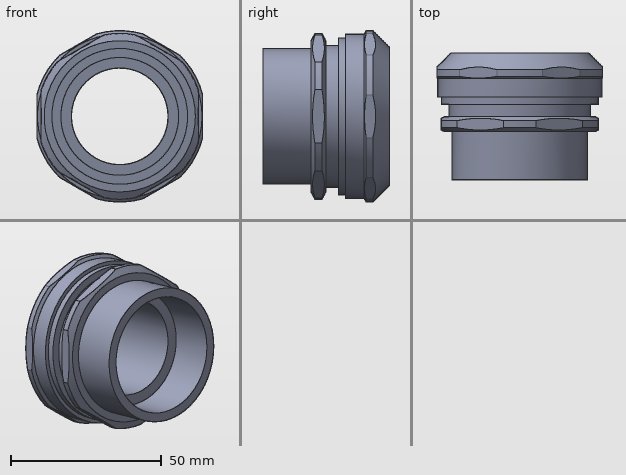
import cadquery as cq


total_length = 42.0
socket_length = 15.95
nut_length = 4.95
neck_length = 4.1
collar_length = 2.4
body_length = 6.2
cap_length = total_length - socket_length - nut_length - neck_length - collar_length - body_length

socket_diameter = 45.0
neck_diameter = 47.0
collar_diameter = 52.0
body_diameter = 54.5

nut_diameter = 55.0
nut_flats = 52.0
nut_face_diameter = 50.1
nut_chamfer_length = 1.3

cap_diameter = 56.8
cap_flats = 55.0
cap_front_diameter = body_diameter
cap_chamfer_length = 0.7
cap_bevel_length = 5.55
cap_rear_diameter = cap_diameter - 2 * cap_bevel_length

socket_bore_diameter = 39.0
socket_bore_depth = 15.95
through_bore_diameter = 31.9

socket_end = -total_length / 2
nut_start = socket_end + socket_length
neck_start = nut_start + nut_length
collar_start = neck_start + neck_length
body_start = collar_start + collar_length
cap_start = body_start + body_length


def cylinder(diameter, start, length):
    """Solid round section from Y = start towards +Y."""
    plane = cq.Workplane("XZ", origin=(0, start, 0))
    return plane.circle(diameter / 2).extrude(-length)


def chamfered_hexagon(flats, start, length, diameter, front, rear):
    """Turned disc cut to a hexagon with flats facing +X and -X.

    front and rear each give the end face diameter and the chamfer length.
    """
    front_diameter, front_length = front
    rear_diameter, rear_length = rear
    end = start + length
    disc = (
        cq.Workplane("XY")
        .moveTo(0, start)
        .lineTo(front_diameter / 2, start)
        .lineTo(diameter / 2, start + front_length)
        .lineTo(diameter / 2, end - rear_length)
        .lineTo(rear_diameter / 2, end)
        .lineTo(0, end)
        .close()
        .revolve(360, (0, 0, 0), (0, 1, 0))
    )
    hexagon = (
        cq.Workplane("XZ", origin=(0, start, 0))
        .polygon(6, flats, circumscribed=True)
        .extrude(-length)
    )
    return disc.intersect(hexagon)


socket = cylinder(socket_diameter, socket_end, socket_length)
neck = cylinder(neck_diameter, neck_start, neck_length)
collar = cylinder(collar_diameter, collar_start, collar_length)
body = cylinder(body_diameter, body_start, body_length)

nut_chamfer = (nut_face_diameter, nut_chamfer_length)
nut = chamfered_hexagon(nut_flats, nut_start, nut_length, nut_diameter, nut_chamfer, nut_chamfer)

cap = chamfered_hexagon(
    cap_flats,
    cap_start,
    cap_length,
    cap_diameter,
    (cap_front_diameter, cap_chamfer_length),
    (cap_rear_diameter, cap_bevel_length),
)

socket_bore = cylinder(socket_bore_diameter, socket_end, socket_bore_depth)
through_bore = cylinder(through_bore_diameter, socket_end, total_length)

outside = socket.union(nut).union(neck).union(collar).union(body).union(cap)
result = outside.cut(socket_bore).cut(through_bore)